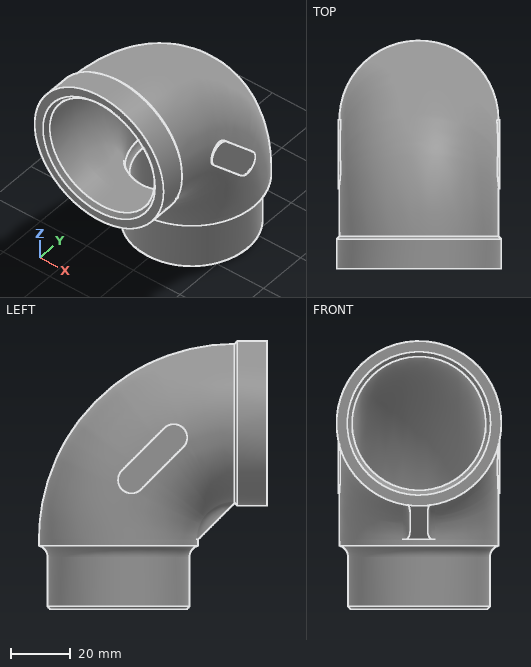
import cadquery as cq
import math


total_height = 90.25
collar_radius = 27.75
collar_length = 10.0
collar_chamfer = 1.0
axis_to_collar_face = 50.0
tube_radius = 26.8

spigot_radius = 23.9
spigot_length = 17.6
flare_radius = 4.0
tip_chamfer = 1.0

bore_radius = 22.5
mouth_chamfer = 1.6
spigot_bore_radius = 20.9
bore_flare_top = 24.6

rib_width = 6.0
rib_fillet = 3.0

pad_end_radius = 4.5
pad_center_distance = 20.1
pad_face_x = 27.2
pad_center_y = -11.5
pad_center_z = 50.6

collar_axis_z = total_height - collar_radius
bend_radius = axis_to_collar_face - collar_length - collar_chamfer
bend_center_y = -bend_radius
bend_center_z = collar_axis_z - bend_radius
inner_bend_radius = bend_radius - tube_radius


def arc_drop(radius, offset):
    """Distance along the axis covered by an arc that leaves it tangentially and ends offset sideways."""
    return math.sqrt(radius**2 - (radius - offset) ** 2)


def arc_midpoint(radius, offset):
    """Sideways and axial travel from the tangent end of that arc to its middle."""
    half_angle = math.acos((radius - offset) / radius) / 2
    return radius * (1 - math.cos(half_angle)), radius * math.sin(half_angle)


def turned(profile):
    """Revolve an XZ profile about the spigot axis."""
    return profile.close().revolve(360, (0, 0, 0), (0, 1, 0))


def bend(radius):
    """Quarter torus from the top of the spigot to the back of the collar."""
    return (
        cq.Workplane("XY", origin=(0, 0, bend_center_z))
        .circle(radius)
        .revolve(90, (0, bend_center_y, 0), (1, bend_center_y, 0))
    )


def collar():
    """Collar ring with a chamfered back edge."""
    return (
        cq.Workplane("XZ", origin=(0, bend_center_y, collar_axis_z))
        .circle(collar_radius)
        .extrude(collar_length + collar_chamfer)
        .faces(">Y")
        .chamfer(collar_chamfer)
    )


def spigot():
    """Spigot with a tip chamfer and a concave flare up to the flange under the bend."""
    flare_width = tube_radius - spigot_radius
    middle_out, middle_up = arc_midpoint(flare_radius, flare_width)
    flange_z = spigot_length + arc_drop(flare_radius, flare_width)
    return turned(
        cq.Workplane("XZ")
        .lineTo(spigot_radius - tip_chamfer, 0)
        .lineTo(spigot_radius, tip_chamfer)
        .lineTo(spigot_radius, spigot_length)
        .threePointArc(
            (spigot_radius + middle_out, spigot_length + middle_up),
            (tube_radius, flange_z),
        )
        .lineTo(tube_radius, bend_center_z)
        .lineTo(0, bend_center_z)
    )


def bend_with_rib():
    """Bend with a web across its inside corner, filleted along both sides and cut off at 45 degrees."""
    at_bend_center = cq.Workplane("YZ", origin=(0, bend_center_y, bend_center_z))
    web = at_bend_center.rect(bend_radius, bend_radius, centered=False).extrude(rib_width / 2, both=True)
    corner = (
        at_bend_center.lineTo(inner_bend_radius, 0)
        .lineTo(0, inner_bend_radius)
        .close()
        .extrude(tube_radius, both=True)
    )
    root_clearance = inner_bend_radius / 4
    web_roots = cq.selectors.BoxSelector(
        (-rib_width, bend_center_y + root_clearance, bend_center_z + root_clearance),
        (rib_width, 0, collar_axis_z),
    )
    return bend(tube_radius).union(web).edges(web_roots).fillet(rib_fillet).cut(corner)


def pads():
    """Flat raised pads on both flanks of the bend, set along its diagonal."""
    return (
        cq.Workplane("YZ", origin=(0, pad_center_y, pad_center_z))
        .slot2D(pad_center_distance + 2 * pad_end_radius, 2 * pad_end_radius, angle=-45)
        .extrude(pad_face_x, both=True)
    )


def spigot_bore():
    """Narrower passage in the spigot, flaring out with an arc to the bore of the bend."""
    flare_width = bore_radius - spigot_bore_radius
    middle_in, middle_down = arc_midpoint(flare_radius, flare_width)
    flare_bottom = bore_flare_top - arc_drop(flare_radius, flare_width)
    return turned(
        cq.Workplane("XZ")
        .lineTo(spigot_bore_radius, 0)
        .lineTo(spigot_bore_radius, flare_bottom)
        .threePointArc(
            (bore_radius - middle_in, bore_flare_top - middle_down),
            (bore_radius, bore_flare_top),
        )
        .lineTo(0, bore_flare_top)
    )


def bend_bore():
    """Curved passage, starting at the top of the spigot bore flare."""
    below_flare = cq.Workplane("XY").circle(axis_to_collar_face).extrude(bore_flare_top)
    return bend(bore_radius).cut(below_flare)


def collar_bore():
    """Straight passage through the collar with a chamfered mouth."""
    face = cq.Workplane("XZ", origin=(0, -axis_to_collar_face, collar_axis_z))
    straight = face.circle(bore_radius).extrude(bend_radius - axis_to_collar_face)
    mouth = (
        face.circle(bore_radius + mouth_chamfer)
        .workplane(offset=-mouth_chamfer)
        .circle(bore_radius)
        .loft()
    )
    return straight.union(mouth)


body = bend_with_rib().union(collar()).union(spigot()).union(pads())
result = body.cut(spigot_bore().union(bend_bore()).union(collar_bore()))